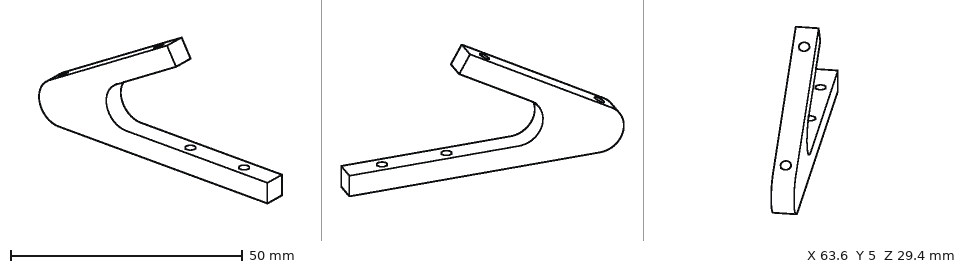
import cadquery as cq
import math

total_length = 63.6
width = 5.0
arm_thickness = 5.0
corner_radius = 5.55
total_height = 29.35
arm_angle = 30.0
hole_diameter = 2.3
lower_hole_places = (40.15, 55.1)
upper_hole_end_distance = 5.0
upper_hole_spacing = 30.75

slope = math.radians(arm_angle)
along = (math.cos(slope), math.sin(slope))
outward = (-math.sin(slope), math.cos(slope))


def shift(point, direction, distance):
    return (point[0] + direction[0] * distance, point[1] + direction[1] * distance)


nose_center = (corner_radius, corner_radius)
throat_center = (
    nose_center[0] + arm_thickness / math.tan(slope / 2),
    nose_center[1] + arm_thickness,
)
bisector = (math.cos(slope / 2), math.sin(slope / 2))

nose_top = shift(nose_center, outward, corner_radius)
upper_length = (total_height - nose_top[1]) / math.sin(slope)
upper_end = shift(nose_top, along, upper_length)


def make_body():
    """V-shaped plate with rounded nose and throat, centred on Y = 0."""
    return (
        cq.Workplane("XZ")
        .moveTo(nose_center[0], 0)
        .lineTo(total_length, 0)
        .lineTo(total_length, arm_thickness)
        .lineTo(throat_center[0], arm_thickness)
        .threePointArc(
            shift(throat_center, bisector, -corner_radius),
            shift(throat_center, outward, corner_radius),
        )
        .lineTo(*shift(upper_end, outward, -arm_thickness))
        .lineTo(*upper_end)
        .lineTo(*nose_top)
        .threePointArc(shift(nose_center, bisector, -corner_radius), (nose_center[0], 0))
        .close()
        .extrude(width / 2, both=True)
    )


def make_hole(start, direction):
    """Drill one arm thickness deep from a point in the XZ plane."""
    return cq.Workplane(
        cq.Solid.makeCylinder(
            hole_diameter / 2,
            arm_thickness,
            cq.Vector(start[0], 0, start[1]),
            cq.Vector(direction[0], 0, direction[1]),
        )
    )


result = make_body()

for place in lower_hole_places:
    result = result.cut(make_hole((place, arm_thickness), (0, -1)))

inward = (-outward[0], -outward[1])
for distance in (upper_hole_end_distance, upper_hole_end_distance + upper_hole_spacing):
    result = result.cut(make_hole(shift(upper_end, along, -distance), inward))